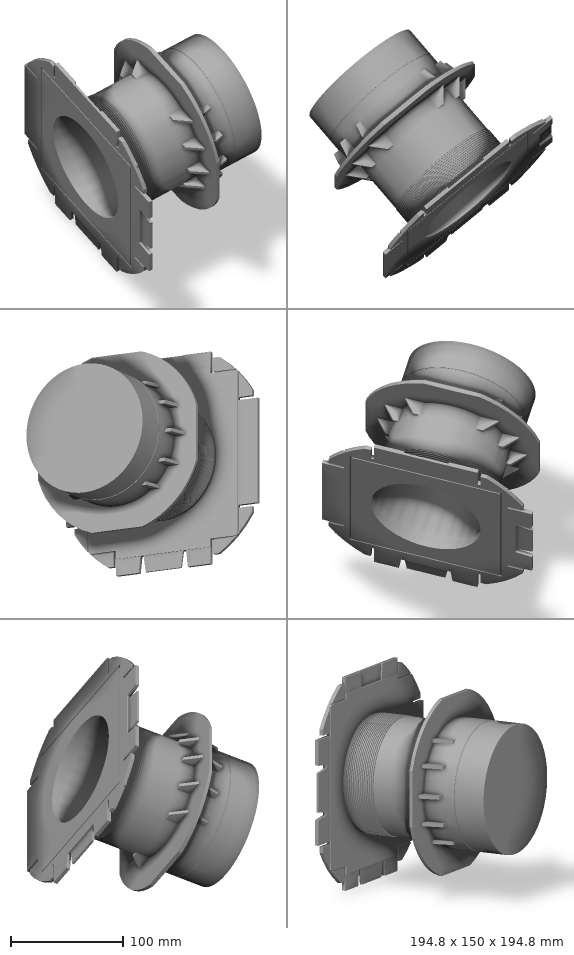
import cadquery as cq
import math

total_length = 150.0

near_reach = 96.0
far_reach = 98.8
plate_mid_thickness = 4.7
plate_slope = 0.5
rim_thickness = 3.7
corner_radius = 106.5
lobe_reach = 90.2
tab_half_width = 48.1
slot_width = 2.7
slot_root = 76.0
raised_half = slot_root
fold_groove_width = 1.2
fold_groove_floor = 2.3

tongue_root = 83.6
tongue_root_half = 20.0
tongue_tip_half = 18.0
gap_root_half = 23.2
gap_tip_half = 25.0
tongue_setback = 1.5
pocket_root = 81.3
pocket_root_half = 18.7
pocket_mouth_half = 20.7
pocket_floor = 2.1

groove_outer_side = 141.1
groove_inner_side = 138.4
groove_corner_radius = 2.3
groove_depth = 1.5

tube_diameter = 108.4
cap_diameter = 118.3
cut_groove_diameter = 117.3
cut_groove_start = 119.9
cut_groove_width = 1.4
bore_mouth_diameter = 101.7
bore_end_diameter = 99.4
end_wall = 3.5

ring_zone_start = 7.2
ring_zone_end = 35.5
ring_root_diameter = 107.2
ring_crest_diameter = 109.5
ring_width = 0.8
ring_count = 15
ring_pitch = 1.83

flange_middle = 87.9
flange_mid_thickness = 4.3
flange_edge_thickness = 3.0
flange_half_side = 80.5
flange_flat_half = 25.5

rib_thickness = 3.1
rib_front = 72.7
rib_back = 108.2
rib_back_taper = 4.3
rib_front_taper = 11.7
rib_rows = [(0.0, 69.5), (26.5, 62.8), (46.2, 44.0)]


def prism(points, y_start, y_end):
    """Extrude an outline given as (x, z) points between two Y positions."""
    return cq.Workplane("XZ", origin=(0, y_start, 0)).polyline(points).close().extrude(y_start - y_end)


def block(x_range, y_range, z_range):
    """Box between the given limits."""
    sizes = [high - low for low, high in (x_range, y_range, z_range)]
    corner = (x_range[0], y_range[0], z_range[0])
    return cq.Workplane("XY").box(*sizes, centered=False).translate(corner)


def disc(radius, y_start, y_end):
    """Round disc about the tube axis."""
    return cq.Workplane("XZ", origin=(0, y_start, 0)).circle(radius).extrude(y_start - y_end)


def slab(profile, height):
    """Extrude an (x, y) profile along Z, centred on the axis."""
    return cq.Workplane("XY").polyline(profile).close().extrude(height / 2, both=True)


def turned_right(shape):
    """Turn a feature of the bottom tab to the right tab."""
    return shape.rotate((0, 0, 0), (0, 1, 0), -90)


def make_plate_outline():
    """Flat plate with four tabs, round corner lobes and the slots between them."""
    depth = (0, plate_mid_thickness)
    slot_outer = tab_half_width + slot_width
    lobe_span = (-lobe_reach, lobe_reach)
    tab_span = (-tab_half_width, tab_half_width)
    outline = disc(corner_radius, *depth).intersect(block(lobe_span, depth, lobe_span))
    for side in (-1, 1):
        reach_x = far_reach if side > 0 else near_reach
        reach_z = near_reach if side > 0 else far_reach
        cross = (-slot_outer, slot_outer)
        strip_x = sorted((side * slot_root, side * reach_x))
        strip_z = sorted((side * slot_root, side * reach_z))
        outline = outline.cut(block(strip_x, depth, cross)).cut(block(cross, depth, strip_z))
        outline = outline.union(block(strip_x, depth, tab_span)).union(block(tab_span, depth, strip_z))
    return outline


def make_raised_back():
    """Raised square on the plate's back, carried on into the top and bottom tabs."""
    edge_thickness = plate_mid_thickness - raised_half * math.tan(math.radians(plate_slope))
    wedge = slab(
        [
            (-raised_half, 0),
            (raised_half, 0),
            (raised_half, edge_thickness),
            (0, plate_mid_thickness),
            (-raised_half, edge_thickness),
        ],
        2 * far_reach,
    )
    depth = (0, plate_mid_thickness)
    square = block((-raised_half, raised_half), depth, (-raised_half, raised_half))
    tabs = block((-tab_half_width, tab_half_width), depth, (-tongue_root, pocket_root))
    return square.union(tabs).intersect(wedge)


def make_fold_groove():
    """Groove in the back along the edge of the raised square, interrupted at the tabs."""
    depth = (fold_groove_floor, plate_mid_thickness)
    outer_half = raised_half + fold_groove_width
    outer_span = (-outer_half, outer_half)
    inner_span = (-raised_half, raised_half)
    tab_span = (-tab_half_width, tab_half_width)
    groove = block(outer_span, depth, outer_span).cut(block(inner_span, depth, inner_span))
    return groove.cut(block(outer_span, depth, tab_span)).cut(block(tab_span, depth, outer_span))


def make_plate():
    """Plate with its raised back, tongues, pocket and fold groove."""
    rim = block((-near_reach, far_reach), (0, rim_thickness), (-far_reach, near_reach))
    plate = make_plate_outline().intersect(rim.union(make_raised_back()))

    for side in (-1, 1):
        gap = prism(
            [
                (side * tongue_root_half, -tongue_root),
                (side * gap_root_half, -tongue_root),
                (side * gap_tip_half, -far_reach),
                (side * tongue_tip_half, -far_reach),
            ],
            0,
            plate_mid_thickness,
        )
        plate = plate.cut(gap).cut(turned_right(gap))
    step = block((-tongue_root_half, tongue_root_half), (0, tongue_setback), (-far_reach, -tongue_root))
    plate = plate.cut(step).cut(turned_right(step))

    pocket = prism(
        [
            (-pocket_root_half, pocket_root),
            (pocket_root_half, pocket_root),
            (pocket_mouth_half, near_reach),
            (-pocket_mouth_half, near_reach),
        ],
        pocket_floor,
        plate_mid_thickness,
    )
    return plate.cut(pocket).cut(make_fold_groove())


def make_face_groove():
    """Square ring cut from the front face; its inner corners are rounded."""
    island = cq.Workplane("XZ").rect(groove_inner_side, groove_inner_side).extrude(-groove_depth)
    island = island.edges("|Y").fillet(groove_corner_radius)
    return cq.Workplane("XZ").rect(groove_outer_side, groove_outer_side).extrude(-groove_depth).cut(island)


def ring_gap(y_start, y_end, outer_diameter, inner_diameter):
    """Groove cutter for a cylinder; its outside stands clear of the surface."""
    return disc(outer_diameter, y_start, y_end).cut(disc(inner_diameter / 2, y_start, y_end))


def make_tube():
    """Outer body of the tube: ringed front length, plain length and the wider capped end."""
    tube = disc(tube_diameter / 2, 0, flange_middle)
    tube = tube.cut(ring_gap(ring_zone_start, ring_zone_end, tube_diameter, ring_root_diameter))
    ring_middle = (ring_zone_start + ring_zone_end) / 2
    first_ring = ring_middle - ring_pitch * (ring_count - 1) / 2
    for index in range(ring_count):
        start = first_ring + index * ring_pitch - ring_width / 2
        tube = tube.union(disc(ring_crest_diameter / 2, start, start + ring_width))
    cap = disc(cap_diameter / 2, flange_middle, total_length)
    cut_groove_end = cut_groove_start + cut_groove_width
    cap = cap.cut(ring_gap(cut_groove_start, cut_groove_end, cap_diameter, cut_groove_diameter))
    return tube.union(cap)


def make_bore():
    """Blind bore that narrows evenly from the plate to the end wall."""
    bore_end = total_length - end_wall
    profile = [(0, 0), (bore_mouth_diameter / 2, 0), (bore_end_diameter / 2, bore_end), (0, bore_end)]
    return cq.Workplane("XY").polyline(profile).close().revolve(360, (0, 0, 0), (0, 1, 0))


def make_flange():
    """Round flange with four flat sides, thickest along x = 0."""
    mid = flange_mid_thickness / 2
    edge = flange_edge_thickness / 2
    wedge = slab(
        [
            (-flange_half_side, -edge),
            (0, -mid),
            (flange_half_side, -edge),
            (flange_half_side, edge),
            (0, mid),
            (-flange_half_side, edge),
        ],
        2 * flange_half_side,
    )
    radius = math.hypot(flange_half_side, flange_flat_half)
    return disc(radius, -mid, mid).intersect(wedge).translate((0, flange_middle, 0))


def make_ribs():
    """Level ribs that stiffen the flange on both sides of the tube."""
    front_face = flange_middle - flange_edge_thickness / 2
    back_face = flange_middle + flange_edge_thickness / 2
    ribs = cq.Workplane("XY")
    for height, reach in rib_rows:
        profile = [
            (0, rib_front),
            (reach - rib_front_taper, rib_front),
            (reach, front_face),
            (reach, back_face),
            (reach - rib_back_taper, rib_back),
            (0, rib_back),
        ]
        half_rib = slab(profile, rib_thickness)
        rib = half_rib.union(half_rib.mirror("YZ"))
        for level in {height, -height}:
            ribs = ribs.union(rib.translate((0, 0, level)))
    return ribs


outside = make_tube().union(make_flange()).union(make_ribs()).union(make_plate())
result = outside.cut(make_face_groove()).cut(make_bore())